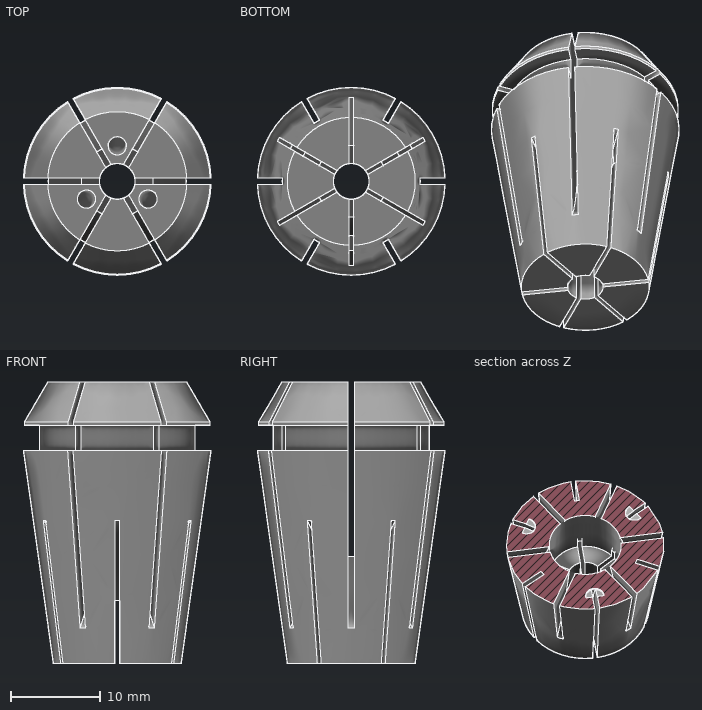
import cadquery as cq
import math

height = 31.5
shoulder_radius = 10.505
shoulder_z = 23.85
body_taper = 8.0
tail_radius = shoulder_radius - shoulder_z * math.tan(math.radians(body_taper))
groove_radius = 8.73
groove_width = 2.8
flange_radius = 10.4
flange_rim_height = 0.38
flange_z = shoulder_z + groove_width
nose_radius = 7.78

bore_radius = 2.0
chamber_radius = 4.0
chamber_floor_z = 6.0
chamber_top_z = 16.0
chamber_floor_slope = 7.0

slots_per_end = 6
slot_pitch = 360 / slots_per_end
nose_slot_width = 0.7
nose_slot_chamber_z = 12.0
nose_slot_outer_z = 4.0
nose_saw_radius = 25.0
tail_slot_width = 0.5
tail_slot_chamber_z = 7.05
tail_slot_outer_z = 16.0
tail_saw_radius = 20.0

hole_count = 3
hole_radius = 1.0
hole_circle_radius = 3.97
hole_first_angle = 90.0
hole_tilt = 9.0
hole_depth = 19.85

clearance = 1.58


def taper_radius(z):
    """Radius of the tapered body at height z."""
    return tail_radius + z * math.tan(math.radians(body_taper))


def revolve_outline(points):
    """Solid of revolution about Z from (radius, z) points."""
    return cq.Workplane("XZ").polyline(points).close().revolve(360, (0, 0, 0), (0, 1, 0))


def make_body():
    return revolve_outline([
        (0, 0),
        (tail_radius, 0),
        (shoulder_radius, shoulder_z),
        (groove_radius, shoulder_z),
        (groove_radius, flange_z),
        (flange_radius, flange_z),
        (flange_radius, flange_z + flange_rim_height),
        (nose_radius, height),
        (0, height),
    ])


def make_bore():
    floor_drop = (chamber_radius - bore_radius) * math.tan(math.radians(chamber_floor_slope))
    return revolve_outline([
        (0, -clearance),
        (bore_radius, -clearance),
        (bore_radius, chamber_floor_z - floor_drop),
        (chamber_radius, chamber_floor_z),
        (chamber_radius, chamber_top_z),
        (bore_radius, chamber_top_z),
        (bore_radius, height + clearance),
        (0, height + clearance),
    ])


def make_slot(width, chamber_z, outer_z, open_z, saw_radius):
    """One radial slot along +X, open at open_z, ending in an arc that a round saw leaves.

    The arc runs from the chamber wall at chamber_z to the tapered surface at outer_z.
    """
    outer_radius = taper_radius(outer_z)
    run = outer_radius - chamber_radius
    rise = abs(outer_z - chamber_z)
    chord = math.hypot(run, rise)
    sag = saw_radius - math.sqrt(saw_radius**2 - (chord / 2) ** 2)
    away_from_opening = -math.copysign(1, open_z - chamber_z)
    arc_middle = (
        (chamber_radius + outer_radius) / 2 - sag * rise / chord,
        (chamber_z + outer_z) / 2 + away_from_opening * sag * run / chord,
    )
    beyond_body = shoulder_radius + clearance
    return (
        cq.Workplane("XZ")
        .moveTo(0, open_z)
        .lineTo(0, chamber_z)
        .lineTo(chamber_radius, chamber_z)
        .threePointArc(arc_middle, (outer_radius, outer_z))
        .lineTo(beyond_body, outer_z)
        .lineTo(beyond_body, open_z)
        .close()
        .extrude(width / 2, both=True)
    )


def make_hole():
    """One tilted hole on the +X side."""
    return (
        cq.Workplane("XY")
        .workplane(offset=-hole_depth)
        .circle(hole_radius)
        .extrude(hole_depth + clearance)
        .rotate((0, 0, 0), (0, 1, 0), -hole_tilt)
        .translate((hole_circle_radius, 0, height))
    )


def turned(cutter, angle):
    """Cutter turned about the part axis."""
    return cutter.rotate((0, 0, 0), (0, 0, 1), angle)


nose_slot = make_slot(
    nose_slot_width, nose_slot_chamber_z, nose_slot_outer_z, height + clearance, nose_saw_radius
)
tail_slot = make_slot(
    tail_slot_width, tail_slot_chamber_z, tail_slot_outer_z, -clearance, tail_saw_radius
)
hole = make_hole()

result = make_body().cut(make_bore())
for i in range(slots_per_end):
    result = result.cut(turned(nose_slot, i * slot_pitch))
    result = result.cut(turned(tail_slot, (i + 0.5) * slot_pitch))
for i in range(hole_count):
    result = result.cut(turned(hole, hole_first_angle + i * 360 / hole_count))